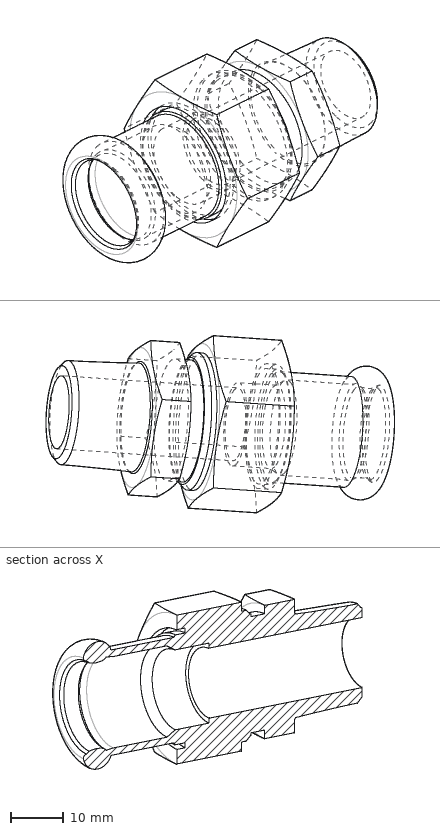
import cadquery as cq
import math

LENGTH = 64.0

TUBE_DIA = 21.3
BEAD_WIDTH = 6.45
BEAD_DIA = 25.7
BEAD_FACE_DIA = 20.2
MOUTH_DIA = 18.7
MOUTH_DEPTH = 0.8
SOCKET_DIA = 18.3
SOCKET_DEPTH = 19.2
STOP_CONE_END = 21.1

SEAL_START = 1.4
SEAL_EDGE_DIA = 17.7
SEAL_CREST = 3.1
SEAL_CREST_DIA = 17.15
SEAL_END = 4.75
LEAD_IN_START = 5.4
LEAD_IN_END = 6.85

SHOULDER_DIA = 22.2
SHOULDER_CONE_START = 20.8
SHOULDER_CONE_END = 21.1

NUT_START = 21.45
NUT_LENGTH = 14.9
NUT_FLATS = 30.0
NUT_OPENING_DIA = 24.0
NUT_OPENING_DEPTH = 1.9

COLLAR_DIA = 26.4
COLLAR_TOP_DIA = 24.4
COLLAR_CHAMFER_START = 37.4
COLLAR_END = 38.5
NECK_DIA = 23.5
HEX_START = 41.6
HEX_LENGTH = 6.9
HEX_FLATS = 26.9

TAPER = 1 / 16
TAPER_ROOT_DIA = 21.6
TAPER_START = 48.8
TAPER_BASE_DIA = 20.9
END_CHAMFER = 1.1

STOP_DIA = 16.0
STOP_END = 28.8
PASSAGE_DIA = 14.0

CORNER_ANGLE = 15.5

nut_end = NUT_START + NUT_LENGTH
hex_end = HEX_START + HEX_LENGTH
taper_end = LENGTH - END_CHAMFER
taper_end_dia = TAPER_BASE_DIA - TAPER * (taper_end - TAPER_START)


def revolve_profile(profile):
    """Revolve a closed (radius, y) profile around the Y axis."""
    return profile.close().revolve(360, (0, 0, 0), (0, 1, 0))


def hexagon(start, length, flats):
    """Hexagon along Y with corners on X and conical corner cuts at both ends."""
    corner_radius = flats / math.sqrt(3)
    corner_drop = (corner_radius - flats / 2) * math.tan(math.radians(CORNER_ANGLE))
    end = start + length
    prism = (
        cq.Workplane("XZ", origin=(0, start, 0))
        .polygon(6, 2 * corner_radius)
        .extrude(-length)
    )
    envelope = revolve_profile(
        cq.Workplane("XY")
        .moveTo(0, start)
        .lineTo(flats / 2, start)
        .lineTo(corner_radius, start + corner_drop)
        .lineTo(corner_radius, end - corner_drop)
        .lineTo(flats / 2, end)
        .lineTo(0, end)
    )
    return prism.intersect(envelope)


def outer_body():
    """Solid turned shape of both halves, from the bead to the male end."""
    return revolve_profile(
        cq.Workplane("XY")
        .moveTo(0, 0)
        .lineTo(BEAD_FACE_DIA / 2, 0)
        .threePointArc((BEAD_DIA / 2, BEAD_WIDTH / 2), (TUBE_DIA / 2, BEAD_WIDTH))
        .lineTo(TUBE_DIA / 2, SHOULDER_CONE_START)
        .lineTo(SHOULDER_DIA / 2, SHOULDER_CONE_END)
        .lineTo(SHOULDER_DIA / 2, nut_end)
        .lineTo(COLLAR_DIA / 2, nut_end)
        .lineTo(COLLAR_DIA / 2, COLLAR_CHAMFER_START)
        .lineTo(COLLAR_TOP_DIA / 2, COLLAR_END)
        .lineTo(NECK_DIA / 2, COLLAR_END)
        .lineTo(NECK_DIA / 2, HEX_START)
        .lineTo(TAPER_ROOT_DIA / 2, hex_end)
        .lineTo(TAPER_BASE_DIA / 2, TAPER_START)
        .lineTo(taper_end_dia / 2, taper_end)
        .lineTo(taper_end_dia / 2 - END_CHAMFER, LENGTH)
        .lineTo(0, LENGTH)
    )


def union_nut():
    """Hexagon nut with a clearance recess around the tube."""
    opening = (
        cq.Workplane("XZ", origin=(0, NUT_START, 0))
        .circle(NUT_OPENING_DIA / 2)
        .extrude(-NUT_OPENING_DEPTH)
    )
    return hexagon(NUT_START, NUT_LENGTH, NUT_FLATS).cut(opening)


def passage():
    """Bore with a rounded mouth, seal ring, socket, conical stop and through passage."""
    lip = (BEAD_FACE_DIA - MOUTH_DIA) / 2
    bend = math.sqrt(0.5)
    lip_middle = (BEAD_FACE_DIA / 2 - lip * bend, MOUTH_DEPTH * (1 - bend))
    return revolve_profile(
        cq.Workplane("XY")
        .moveTo(0, 0)
        .lineTo(BEAD_FACE_DIA / 2, 0)
        .threePointArc(lip_middle, (MOUTH_DIA / 2, MOUTH_DEPTH))
        .lineTo(SEAL_EDGE_DIA / 2, SEAL_START)
        .threePointArc((SEAL_CREST_DIA / 2, SEAL_CREST), (SEAL_EDGE_DIA / 2, SEAL_END))
        .lineTo(MOUTH_DIA / 2, LEAD_IN_START)
        .lineTo(SOCKET_DIA / 2, LEAD_IN_END)
        .lineTo(SOCKET_DIA / 2, SOCKET_DEPTH)
        .lineTo(STOP_DIA / 2, STOP_CONE_END)
        .lineTo(STOP_DIA / 2, STOP_END)
        .lineTo(PASSAGE_DIA / 2, STOP_END)
        .lineTo(PASSAGE_DIA / 2, LENGTH)
        .lineTo(0, LENGTH)
    )


male_hexagon = hexagon(HEX_START, HEX_LENGTH, HEX_FLATS)
result = outer_body().union(union_nut()).union(male_hexagon).cut(passage())